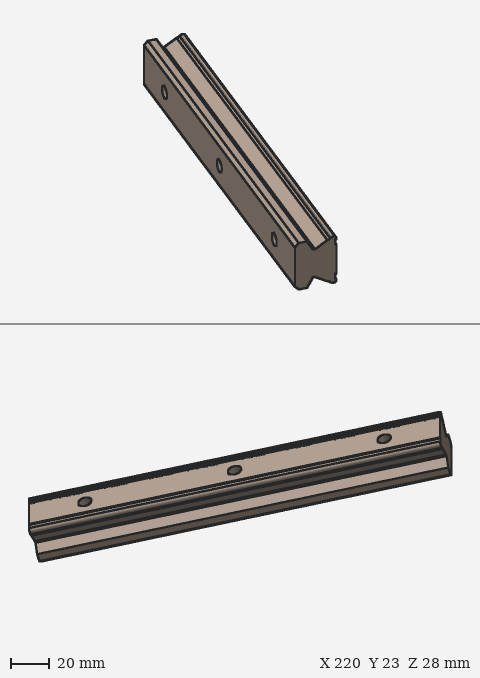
import cadquery as cq
import math

length = 220.0
depth = 23.0
height = 28.0
half_height = height / 2

foot_chamfer = 2.2
foot_depth = 6.8

groove_floor_half_height = 8.4
foot_flank_angle = 60
head_flank_angle = 30
groove_depth = half_height - groove_floor_half_height
floor_start = foot_depth + groove_depth / math.tan(math.radians(foot_flank_angle))

lip_radius = 1.8
relief_depth = 0.7
relief_outer_half_height = 11.5
relief_inner_half_height = 8.8
head_angle = math.radians(head_flank_angle)
lip_y = depth - lip_radius
lip_z = half_height - lip_radius
lip_start = (lip_y - lip_radius * math.sin(head_angle), lip_z + lip_radius * math.cos(head_angle))
floor_end = lip_start[0] - (lip_start[1] - groove_floor_half_height) / math.tan(head_angle)
lip_top = (lip_y, half_height)
lip_back = (depth, lip_z)

flank_relief_start_y = 18.0
flank_relief_end_y = 19.5
flank_relief_depth = 0.2

hole_diameter = 7.0
hole_spacing = 80.0
hole_count = 3


def mirrored(point):
    """Reflect a (y, z) profile point in the mid-height plane."""
    return (point[0], -point[1])


def flank_point(y, sink=0):
    """Point on the head flank at y, sunk square to the flank by the given amount."""
    z = lip_start[1] + (y - lip_start[0]) * math.tan(head_angle)
    return (y + sink * math.sin(head_angle), z - sink * math.cos(head_angle))


def make_rail():
    """Extrude the symmetric (y, z) profile along X."""
    relief_start = flank_point(flank_relief_start_y)
    relief_middle = flank_point((flank_relief_start_y + flank_relief_end_y) / 2, flank_relief_depth)
    relief_end = flank_point(flank_relief_end_y)
    foot_and_groove = [
        (0, half_height - foot_chamfer),
        (foot_chamfer, half_height),
        (foot_depth, half_height),
        (floor_start, groove_floor_half_height),
        (floor_end, groove_floor_half_height),
        relief_start,
    ]
    back_relief = [
        (depth - relief_depth, relief_outer_half_height),
        (depth - relief_depth, relief_inner_half_height),
        (depth, relief_inner_half_height),
    ]
    profile = cq.Workplane("YZ").polyline(foot_and_groove)
    profile = profile.threePointArc(relief_middle, relief_end).lineTo(*lip_start)
    profile = profile.threePointArc(lip_top, lip_back)
    for point in back_relief:
        profile = profile.lineTo(*point)
    for point in reversed(back_relief):
        profile = profile.lineTo(*mirrored(point))
    profile = profile.lineTo(*mirrored(lip_back))
    profile = profile.threePointArc(mirrored(lip_top), mirrored(lip_start))
    profile = profile.lineTo(*mirrored(relief_end))
    profile = profile.threePointArc(mirrored(relief_middle), mirrored(relief_start))
    for point in reversed(foot_and_groove[:-1]):
        profile = profile.lineTo(*mirrored(point))
    return profile.close().extrude(length / 2, both=True)


def make_holes():
    """Row of round cutters centred on the length and height."""
    return (
        cq.Workplane("XZ")
        .rarray(hole_spacing, 2.2, hole_count, 1)
        .circle(hole_diameter / 2)
        .extrude(-depth)
    )


result = make_rail().cut(make_holes())